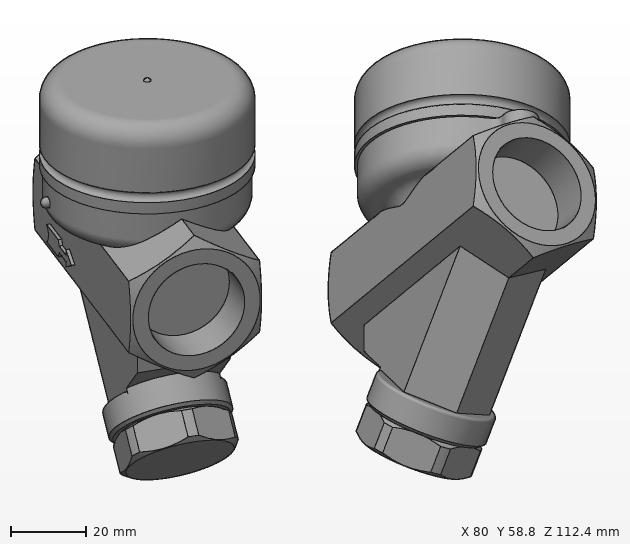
import cadquery as cq
import math

DIAGONAL = math.sqrt(0.5)

BODY_LENGTH = 80.0
BODY_FLATS = 37.0
BODY_CORNER_RADIUS = BODY_FLATS / math.sqrt(3)
END_FACE_DIAMETER = 36.0
END_CHAMFER_ANGLE = 30
BORE_DIAMETER = 27.2
BORE_DEPTH = 12.5

CUP_DIAMETER = 56.0
CUP_BOTTOM_Z = 10.8
CUP_FILLET = 5.0
NECK_RADIUS = 18.3
NECK_FILLET = 4.5
CAP_DIAMETER = 57.5
CAP_FILLET = 5.6
FLANGE_BOTTOM_Z = 24.0
FLANGE_TOP_Z = 27.4
CAP_SKIRT_Z = 30.3
CAP_TOP_Z = 49.3
CAP_NUB_DIAMETER = 2.0
CAP_NUB_HEIGHT = 0.7

CUP_NUB_DIAMETER = 3.0
CUP_NUB_TIP_Y = -30.0
CUP_NUB_Z = 17.5
TAB_RADIUS = 4.9
TAB_CENTER_X = -31.1
TAB_FILLET = 3.0
ARROW_HEIGHT = 1.0

AXIS_START_X = -24.8
LEG_FLATS = 26.3
LEG_CORNER_RADIUS = LEG_FLATS / math.sqrt(3)
LEG_SIDE_X = 29.8
LEG_ROOT_Z = -13.3
WEB_END = 53.9
SEAT_GAP = 0.6
SEAT = WEB_END + SEAT_GAP
COLLAR_DIAMETER = 34.0
COLLAR_LENGTH = 8.5
COLLAR_FILLET = 0.9
COLLAR_CHAMFER = 0.9
HEAD_LENGTH = 9.8
HEAD_FLATS = 30.0
HEAD_CORNER_DIAMETER = 33.0
HEAD_CHAMFER = 1.1
HEAD_CHAMFER_RADIAL = 1.7


def leg_plane(distance):
    """Plane across the leg axis; local x points up and to the right, local y points to +Y."""
    along = (DIAGONAL, 0, -DIAGONAL)
    across = (DIAGONAL, 0, DIAGONAL)
    origin = (AXIS_START_X + distance * DIAGONAL, 0, -distance * DIAGONAL)
    return cq.Plane(origin=origin, xDir=across, normal=along)


def hexagonal_body():
    hexagon = (
        cq.Workplane("YZ", origin=(-BODY_LENGTH / 2, 0, 0))
        .polygon(6, 2 * BODY_CORNER_RADIUS)
        .extrude(BODY_LENGTH)
        .rotate((0, 0, 0), (1, 0, 0), 90)
    )
    end_radius = END_FACE_DIAMETER / 2
    chamfer = (BODY_CORNER_RADIUS - end_radius) * math.tan(math.radians(END_CHAMFER_ANGLE))
    blank = (
        cq.Workplane("XZ")
        .moveTo(-BODY_LENGTH / 2, 0)
        .lineTo(-BODY_LENGTH / 2, end_radius)
        .lineTo(-BODY_LENGTH / 2 + chamfer, BODY_CORNER_RADIUS)
        .lineTo(BODY_LENGTH / 2 - chamfer, BODY_CORNER_RADIUS)
        .lineTo(BODY_LENGTH / 2, end_radius)
        .lineTo(BODY_LENGTH / 2, 0)
        .close()
        .revolve(360, (0, 0, 0), (1, 0, 0))
    )
    return hexagon.intersect(blank)


def cup():
    """Round cup that carries the cap, with a flared neck down into the hexagonal body."""
    cup_radius = CUP_DIAMETER / 2
    neck_top = CUP_BOTTOM_Z - NECK_FILLET
    return (
        cq.Workplane("XZ")
        .moveTo(0, 0)
        .lineTo(NECK_RADIUS, 0)
        .lineTo(NECK_RADIUS, neck_top)
        .threePointArc(
            (NECK_RADIUS + NECK_FILLET * (1 - DIAGONAL), neck_top + NECK_FILLET * DIAGONAL),
            (NECK_RADIUS + NECK_FILLET, CUP_BOTTOM_Z),
        )
        .lineTo(cup_radius - CUP_FILLET, CUP_BOTTOM_Z)
        .threePointArc(
            (cup_radius - CUP_FILLET * (1 - DIAGONAL), CUP_BOTTOM_Z + CUP_FILLET * (1 - DIAGONAL)),
            (cup_radius, CUP_BOTTOM_Z + CUP_FILLET),
        )
        .lineTo(cup_radius, FLANGE_BOTTOM_Z)
        .lineTo(0, FLANGE_BOTTOM_Z)
        .close()
        .revolve(360, (0, 0, 0), (0, 1, 0))
    )


def cup_nub():
    """Round-ended pip on the front of the cup."""
    radius = CUP_NUB_DIAMETER / 2
    center_y = CUP_NUB_TIP_Y + radius
    root_y = -CUP_DIAMETER / 2 + radius
    stem = (
        cq.Workplane("XZ", origin=(0, root_y, CUP_NUB_Z))
        .circle(radius)
        .extrude(root_y - center_y)
    )
    ball = cq.Workplane("XY", origin=(0, center_y, CUP_NUB_Z)).sphere(radius)
    return stem.union(ball)


def tab():
    """Round-ended tab whose arc runs into the cup through a concave fillet on each side."""
    cup_radius = CUP_DIAMETER / 2
    to_cup = cup_radius + TAB_FILLET
    to_tab = TAB_RADIUS + TAB_FILLET
    fillet_x = (TAB_CENTER_X**2 + to_cup**2 - to_tab**2) / (2 * TAB_CENTER_X)
    fillet_y = math.sqrt(to_cup**2 - fillet_x**2)
    cup_touch_x = fillet_x * cup_radius / to_cup
    cup_touch_y = fillet_y * cup_radius / to_cup
    tab_touch_x = TAB_CENTER_X + (fillet_x - TAB_CENTER_X) * TAB_RADIUS / to_tab
    tab_touch_y = fillet_y * TAB_RADIUS / to_tab
    toward_x = (cup_touch_x + tab_touch_x) / 2 - fillet_x
    toward_y = (cup_touch_y + tab_touch_y) / 2 - fillet_y
    toward_length = math.hypot(toward_x, toward_y)
    middle_x = fillet_x + TAB_FILLET * toward_x / toward_length
    middle_y = fillet_y + TAB_FILLET * toward_y / toward_length
    return (
        cq.Workplane("XY")
        .moveTo(0, cup_touch_y)
        .lineTo(cup_touch_x, cup_touch_y)
        .threePointArc((middle_x, middle_y), (tab_touch_x, tab_touch_y))
        .threePointArc((TAB_CENTER_X - TAB_RADIUS, 0), (tab_touch_x, -tab_touch_y))
        .threePointArc((middle_x, -middle_y), (cup_touch_x, -cup_touch_y))
        .lineTo(0, -cup_touch_y)
        .close()
        .extrude(FLANGE_BOTTOM_Z)
    )


def arrow():
    """Raised flow arrow on the front flat of the hexagonal body."""
    tip_x = -5.6
    head_x = -10.0
    shaft_x = -15.5
    tail_front_x = -16.2
    tail_x = -25.6
    notch_x = -24.2
    center_z = -5.5
    half_width = 2.6
    half_shaft = 1.0
    return (
        cq.Workplane("XZ", origin=(0, -BODY_FLATS / 2, center_z))
        .moveTo(tail_x, half_width)
        .lineTo(tail_front_x, half_width)
        .lineTo(shaft_x, half_shaft)
        .lineTo(head_x, half_shaft)
        .lineTo(head_x, half_width)
        .lineTo(tip_x, 0)
        .lineTo(head_x, -half_width)
        .lineTo(head_x, -half_shaft)
        .lineTo(shaft_x, -half_shaft)
        .lineTo(tail_front_x, -half_width)
        .lineTo(tail_x, -half_width)
        .threePointArc((notch_x, 0), (tail_x, half_width))
        .close()
        .extrude(ARROW_HEIGHT)
    )


def leg():
    """Inclined leg with a V-shaped underside, a flat web beside it and a round seat at its end."""
    half_flats = LEG_FLATS / 2
    reach = BODY_LENGTH
    trough = (
        cq.Workplane(leg_plane(-reach))
        .moveTo(-LEG_CORNER_RADIUS, 0)
        .lineTo(-LEG_CORNER_RADIUS / 2, half_flats)
        .lineTo(reach, half_flats)
        .lineTo(reach, -half_flats)
        .lineTo(-LEG_CORNER_RADIUS / 2, -half_flats)
        .close()
        .extrude(2 * reach)
    )
    root_x = AXIS_START_X - LEG_CORNER_RADIUS / DIAGONAL - LEG_ROOT_Z
    side_z = LEG_SIDE_X - AXIS_START_X - WEB_END / DIAGONAL
    tip_x = AXIS_START_X + (WEB_END - LEG_CORNER_RADIUS) * DIAGONAL
    tip_z = -(WEB_END + LEG_CORNER_RADIUS) * DIAGONAL
    outline = (
        cq.Workplane("XZ", origin=(0, half_flats, 0))
        .moveTo(root_x, LEG_ROOT_Z)
        .lineTo(LEG_SIDE_X, LEG_ROOT_Z)
        .lineTo(LEG_SIDE_X, side_z)
        .lineTo(tip_x, tip_z)
        .close()
        .extrude(LEG_FLATS)
    )
    seat = (
        cq.Workplane(leg_plane(WEB_END / 2))
        .circle(COLLAR_DIAMETER / 2)
        .extrude(WEB_END / 2 + SEAT_GAP + COLLAR_FILLET)
    )
    return outline.union(seat).intersect(trough)


def plug():
    """Round collar and chamfered hexagonal head at the end of the leg."""
    seat_center = leg_plane(SEAT).origin.toTuple()
    head_plane = leg_plane(SEAT + COLLAR_LENGTH)
    head_center = head_plane.origin.toTuple()
    collar = (
        cq.Workplane(leg_plane(SEAT))
        .circle(COLLAR_DIAMETER / 2)
        .extrude(COLLAR_LENGTH)
        .faces(cq.selectors.NearestToPointSelector(seat_center))
        .edges()
        .fillet(COLLAR_FILLET)
        .faces(cq.selectors.NearestToPointSelector(head_center))
        .edges()
        .chamfer(COLLAR_CHAMFER)
    )
    head = (
        cq.Workplane(head_plane)
        .polygon(6, 2 * HEAD_FLATS / math.sqrt(3))
        .extrude(HEAD_LENGTH)
    )
    blank = (
        cq.Workplane(head_plane)
        .circle(HEAD_CORNER_DIAMETER / 2)
        .extrude(HEAD_LENGTH)
        .faces("%PLANE")
        .edges()
        .chamfer(HEAD_CHAMFER, HEAD_CHAMFER_RADIAL)
    )
    return collar.union(head.intersect(blank))


def bore():
    """Blind pipe bore in the -X end."""
    start = (-BODY_LENGTH / 2, 0, 0)
    return cq.Workplane("YZ", origin=start).circle(BORE_DIAMETER / 2).extrude(BORE_DEPTH)


def trap_body():
    body = hexagonal_body()
    for feature in (cup(), cup_nub(), tab(), arrow(), leg(), plug()):
        body = body.union(feature)
    for end_bore in (bore(), bore().mirror("YZ")):
        body = body.cut(end_bore)
    return body


def trap_cap():
    """Cap with a round groove above its flange, seated on the cup."""
    radius = CAP_DIAMETER / 2
    groove_radius = (CAP_SKIRT_Z - FLANGE_TOP_Z) / 2
    cap = (
        cq.Workplane("XZ")
        .moveTo(0, FLANGE_BOTTOM_Z)
        .lineTo(radius, FLANGE_BOTTOM_Z)
        .lineTo(radius, FLANGE_TOP_Z)
        .threePointArc((radius - groove_radius, FLANGE_TOP_Z + groove_radius), (radius, CAP_SKIRT_Z))
        .lineTo(radius, CAP_TOP_Z - CAP_FILLET)
        .threePointArc(
            (radius - CAP_FILLET * (1 - DIAGONAL), CAP_TOP_Z - CAP_FILLET * (1 - DIAGONAL)),
            (radius - CAP_FILLET, CAP_TOP_Z),
        )
        .lineTo(0, CAP_TOP_Z)
        .close()
        .revolve(360, (0, 0, 0), (0, 1, 0))
    )
    half_width = CAP_NUB_DIAMETER / 2
    ball_radius = (half_width**2 + CAP_NUB_HEIGHT**2) / (2 * CAP_NUB_HEIGHT)
    ball_z = CAP_TOP_Z + CAP_NUB_HEIGHT - ball_radius
    nub = cq.Workplane("XY", origin=(0, 0, ball_z)).sphere(ball_radius)
    return cap.union(nub)


body = trap_body()
cap = trap_cap()
result = cq.Compound.makeCompound([body.val(), cap.val()])